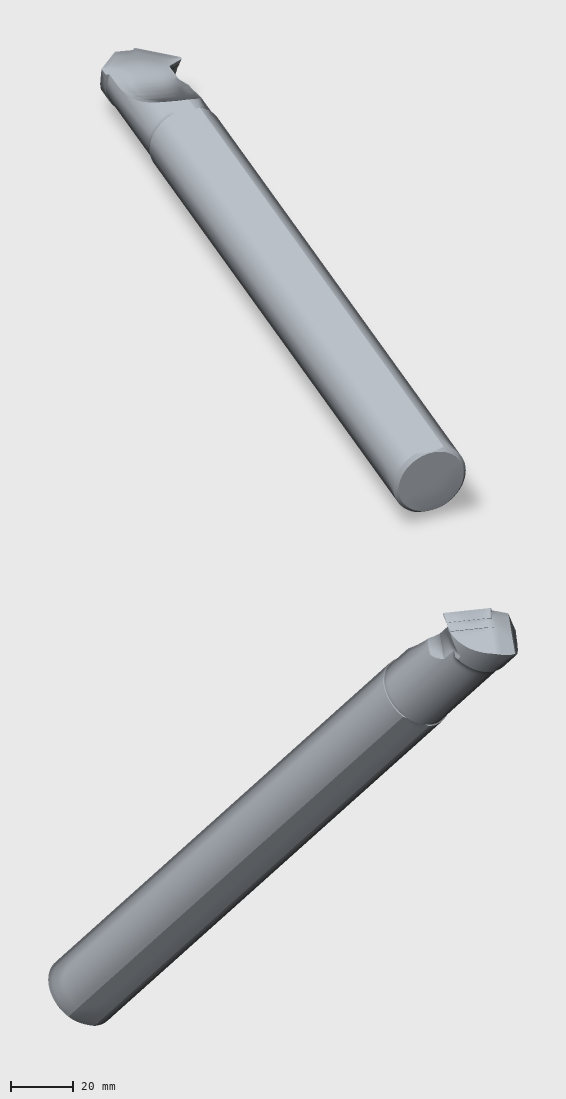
import cadquery as cq
import math

LENGTH = 249.5
SHANK_START = 49.5
SHANK_RADIUS = 12.5
FLAT_HEIGHT = 11.5
END_CHAMFER = 1.2

NECK_RADIUS = 12.0

HEAD_FRONT = 1.0
HEAD_END = 13.2
HEAD_RADIUS = 13.7
HEAD_Y = 1.5
HEAD_CHAMFER = 1.0
HEAD_TOP = 15.0
SIDE_WALL = 10.5
SIDE_WALL_END = 19.2
RAMP_END = 23.7
FRONT_CORNER = (HEAD_FRONT, -4.0)
BEVEL_END = (9.5, -12.2)
FRONT_ROUND = 7.5
CLEAR = 50.0

RAKE_ANGLE = 10.0
TIP_Y = 16.2
rake = math.radians(RAKE_ANGLE)
RAKE_PLANE = cq.Plane(
    origin=(0, 0, TIP_Y * math.tan(rake)),
    xDir=(1, 0, 0),
    normal=(0, math.sin(rake), math.cos(rake)),
)

SCOOP_X = -12.0
SCOOP_FLAT_RADIUS = 32.5
SCOOP_CURVE = 35.0

INSERT_BASE = 2.7
INSERT_THICKNESS = 3.2
INSERT_RELIEF = 11.0
NOSE_RADIUS = 0.7
insert_height = TIP_Y / math.cos(rake) - INSERT_BASE + NOSE_RADIUS
insert_half_side = insert_height / math.sqrt(3)
insert_x = insert_half_side - (math.sqrt(3) - 1) * NOSE_RADIUS

SEAT_INSET = 0.7
LOWER_INSET = 1.0
SEAT_STEP_DEPTH = 6.5


def cylinder_x(radius, y, start, end):
    return cq.Workplane("YZ", origin=(start, y, 0)).circle(radius).extrude(end - start)


def insert_prism(relief_angle):
    """Round-cornered triangle below the rake face, narrowing downward by the relief angle."""
    half_flat = insert_half_side - math.sqrt(3) * NOSE_RADIUS
    core = (
        cq.Workplane(RAKE_PLANE)
        .polyline([
            (insert_x - half_flat, INSERT_BASE + NOSE_RADIUS),
            (insert_x + half_flat, INSERT_BASE + NOSE_RADIUS),
            (insert_x, INSERT_BASE + insert_height - 2 * NOSE_RADIUS),
        ])
        .close()
    )
    return core.offset2D(NOSE_RADIUS).extrude(-INSERT_THICKNESS, taper=relief_angle)


def head_prism(inset, top, bottom):
    """Head outline square to the rake face, its point set in from the insert's flanks.

    The prism runs between two depths below the rake face; a negative depth lies above it.
    """
    point_v = INSERT_BASE + insert_height - 2 * inset
    flank_v = point_v - (insert_x - HEAD_FRONT) * math.sqrt(3)
    wall_x = insert_x + (point_v - SIDE_WALL) / math.sqrt(3)
    ramp_top = NECK_RADIUS / math.cos(rake)
    prism = (
        cq.Workplane(RAKE_PLANE).workplane(offset=-top)
        .moveTo(*FRONT_CORNER)
        .lineTo(*BEVEL_END)
        .lineTo(BEVEL_END[0], -CLEAR)
        .lineTo(RAMP_END, -CLEAR)
        .lineTo(RAMP_END, ramp_top)
        .lineTo(SIDE_WALL_END, SIDE_WALL)
        .lineTo(wall_x, SIDE_WALL)
        .lineTo(insert_x, point_v)
        .lineTo(HEAD_FRONT, flank_v)
        .close()
        .extrude(top - bottom)
    )
    front_edge = RAKE_PLANE.toWorldCoords((HEAD_FRONT, flank_v, -(top + bottom) / 2))
    return prism.edges(cq.selectors.NearestToPointSelector(front_edge.toTuple())).fillet(FRONT_ROUND)


def make_head():
    round_part = cylinder_x(HEAD_RADIUS, HEAD_Y, 0, HEAD_END)
    upper = (
        cq.Workplane("XY", origin=(0, HEAD_Y, 0))
        .rect(2 * HEAD_END, 2 * HEAD_RADIUS)
        .extrude(HEAD_TOP)
        .intersect(cq.Workplane("XY").box(HEAD_END, CLEAR, CLEAR, centered=(False, True, True)))
    )
    blank = round_part.faces(">X").chamfer(HEAD_CHAMFER).union(upper)
    blank = blank.union(cylinder_x(NECK_RADIUS, 0, HEAD_END, RAMP_END))
    seat = blank.intersect(head_prism(SEAT_INSET, -HEAD_TOP, SEAT_STEP_DEPTH))
    lower = blank.intersect(head_prism(LOWER_INSET, SEAT_STEP_DEPTH, CLEAR))
    return seat.union(lower)


def make_scoop():
    """Flat-bottomed round cutter with a large concave corner."""
    bend = SCOOP_CURVE * math.sqrt(0.5)
    axis_plane = cq.Plane(
        origin=RAKE_PLANE.toWorldCoords((SCOOP_X, 0, 0)),
        xDir=(1, 0, 0),
        normal=-RAKE_PLANE.yDir,
    )
    return (
        cq.Workplane(axis_plane)
        .lineTo(SCOOP_FLAT_RADIUS, 0)
        .threePointArc(
            (SCOOP_FLAT_RADIUS + bend, SCOOP_CURVE - bend),
            (SCOOP_FLAT_RADIUS + SCOOP_CURVE, SCOOP_CURVE),
        )
        .lineTo(0, SCOOP_CURVE)
        .close()
        .revolve(360, (0, 0), (0, 1))
    )


def make_holder():
    flats = cq.Workplane("XY").box(2 * LENGTH, CLEAR, 2 * FLAT_HEIGHT)
    shank = cylinder_x(SHANK_RADIUS, 0, SHANK_START, LENGTH)
    shank = shank.faces(">X").chamfer(END_CHAMFER).intersect(flats)
    neck = cylinder_x(NECK_RADIUS, 0, RAMP_END, SHANK_START)
    above_flat = (
        cq.Workplane("XY", origin=(0, 0, FLAT_HEIGHT))
        .box(2 * LENGTH, CLEAR, CLEAR, centered=(True, True, False))
    )
    body = shank.union(neck).union(make_head())
    return body.cut(above_flat).cut(make_scoop()).cut(insert_prism(0))


holder = make_holder().solids()
insert = insert_prism(INSERT_RELIEF).solids()
result = cq.Compound.makeCompound([holder.val(), insert.val()])